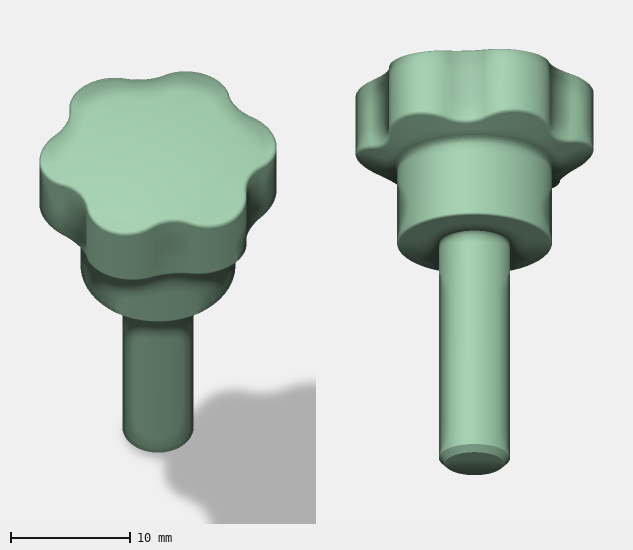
import cadquery as cq
import math

total_height = 35.0
stud_length = 19.98
hub_top = 26.95

stud_radius = 6.0 / 2
stud_chamfer = 0.52
hub_radius = 13.0 / 2
hub_edge_fillet = 0.17
neck_fillet = 0.5

lobe_count = 6
lobe_radius = 3.5
valley_radius = 3.5
grip_radius = 10.0
rim_bottom = 28.27
dome_rise = 1.2
rim_fillet = 0.28
blank_margin = 0.7

lobe_center_radius = grip_radius - lobe_radius
half_pitch = math.pi / lobe_count
valley_center_radius = lobe_center_radius * math.cos(half_pitch) + math.sqrt(
    (lobe_radius + valley_radius) ** 2 - (lobe_center_radius * math.sin(half_pitch)) ** 2
)
valley_floor_radius = valley_center_radius - valley_radius


def polar(radius, angle):
    return (radius * math.cos(angle), radius * math.sin(angle))


def tangent_point(lobe_angle, side):
    """Point where a lobe meets the valley before (side -1) or after (side 1) it."""
    lobe_x, lobe_y = polar(lobe_center_radius, lobe_angle)
    valley_x, valley_y = polar(valley_center_radius, lobe_angle + side * half_pitch)
    share = lobe_radius / (lobe_radius + valley_radius)
    return (lobe_x + share * (valley_x - lobe_x), lobe_y + share * (valley_y - lobe_y))


def star_prism():
    first_angle = math.pi / 2
    outline = cq.Workplane("XY").workplane(offset=hub_top).moveTo(*tangent_point(first_angle, -1))
    for index in range(lobe_count):
        angle = first_angle + 2 * half_pitch * index
        outline = outline.threePointArc(polar(grip_radius, angle), tangent_point(angle, 1))
        outline = outline.threePointArc(
            polar(valley_floor_radius, angle + half_pitch),
            tangent_point(angle + 2 * half_pitch, -1),
        )
    return outline.close().extrude(total_height - hub_top)


def grip_envelope():
    """Turned blank, wider than the star, with a domed top and a conical underside."""
    dome_radius = (grip_radius**2 + dome_rise**2) / (2 * dome_rise)

    def dome_point(radius):
        return (radius, total_height - dome_radius + math.sqrt(dome_radius**2 - radius**2))

    cone_slope = (rim_bottom - hub_top) / (grip_radius - hub_radius)
    blank_radius = grip_radius + blank_margin
    return (
        cq.Workplane("XZ")
        .moveTo(0, hub_top)
        .lineTo(hub_radius, hub_top)
        .lineTo(blank_radius, rim_bottom + cone_slope * blank_margin)
        .lineTo(*dome_point(blank_radius))
        .threePointArc(dome_point(blank_radius / 2), (0, total_height))
        .close()
        .revolve(360, (0, 0), (0, 1))
    )


def make_grip():
    grip = star_prism().intersect(grip_envelope())
    grip = grip.faces(">Z").edges("%BSPLINE").fillet(rim_fillet)
    return grip.faces("%CONE").edges("%BSPLINE").fillet(rim_fillet)


def make_hub():
    hub = cq.Workplane("XY").workplane(offset=stud_length).circle(hub_radius).extrude(hub_top - stud_length)
    return hub.faces("<Z").edges().fillet(hub_edge_fillet)


def make_stud():
    stud = cq.Workplane("XY").circle(stud_radius).extrude(stud_length)
    return stud.faces("<Z").edges().chamfer(stud_chamfer)


knob = make_grip().union(make_hub())
neck_edge = cq.selectors.BoxSelector(
    (-hub_radius, -hub_radius, hub_top - neck_fillet),
    (hub_radius, hub_radius, hub_top + neck_fillet),
)
knob = knob.edges(neck_edge).edges("%CIRCLE").fillet(neck_fillet)
result = knob.union(make_stud())